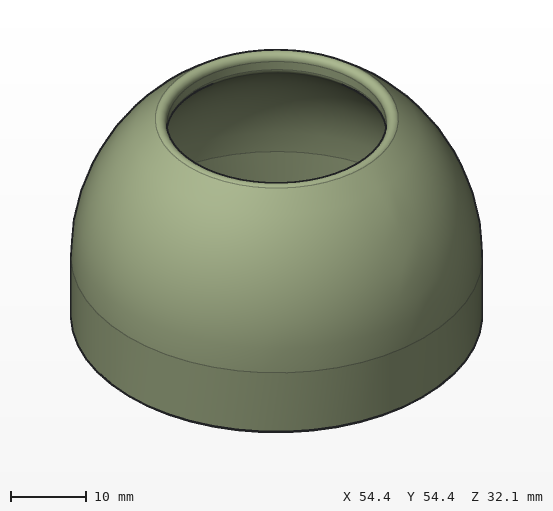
import cadquery as cq
import math

outer_radius = 27.2
cavity_radius = 48.4 / 2
opening_radius = 29.0 / 2
height = 32.1
base_chamfer = 0.5
rim_round = 1.0
lip_round = 1.0

rim_center_radius = opening_radius + rim_round
rim_center_height = height - rim_round
rim_center_distance = outer_radius - rim_round
rim_angle = math.acos(rim_center_radius / rim_center_distance)
skirt_height = rim_center_height - rim_center_distance * math.sin(rim_angle)

lip_center_radius = opening_radius + lip_round
lip_center_distance = cavity_radius + lip_round
lip_angle = math.acos(lip_center_radius / lip_center_distance)
lip_center_height = skirt_height + lip_center_distance * math.sin(lip_angle)
lip_middle_angle = math.pi + lip_angle / 2
lip_middle = (
    lip_center_radius + lip_round * math.cos(lip_middle_angle),
    lip_center_height + lip_round * math.sin(lip_middle_angle),
)


def dome_point(radius, angle):
    """Point on a dome arc, with the angle measured up from the top of the skirt."""
    return radius * math.cos(angle), skirt_height + radius * math.sin(angle)


wall_section = (
    cq.Workplane("XZ")
    .moveTo(cavity_radius, 0)
    .lineTo(outer_radius - base_chamfer, 0)
    .lineTo(outer_radius, base_chamfer)
    .lineTo(outer_radius, skirt_height)
    .threePointArc(dome_point(outer_radius, rim_angle / 2), dome_point(outer_radius, rim_angle))
    .threePointArc((rim_center_radius, height), (opening_radius, rim_center_height))
    .lineTo(opening_radius, lip_center_height)
    .threePointArc(lip_middle, dome_point(cavity_radius, lip_angle))
    .threePointArc(dome_point(cavity_radius, lip_angle / 2), (cavity_radius, skirt_height))
    .close()
)

result = wall_section.revolve(360, (0, 0, 0), (0, 1, 0))